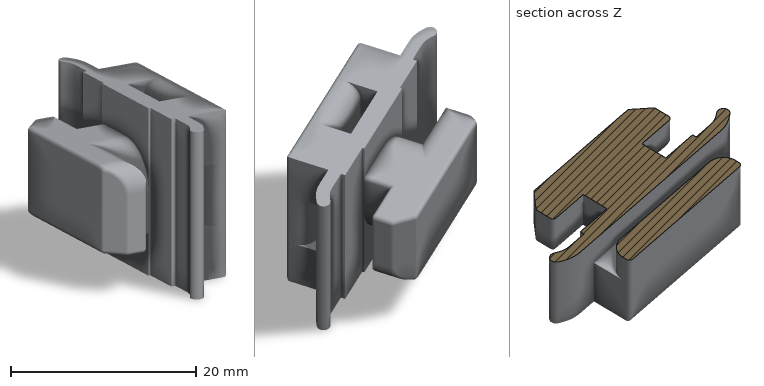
import cadquery as cq
import math


span = 29.7
plate_size = 19.0
plate_half = plate_size / 2
plate_front = 7.0
edge_radius = 0.45
pad_front = 7.25

wing_thickness = 1.48
wing_rear = 5.02
wing_bend_start = 11.88
wing_bend_radius = 2.73
wing_bend_angle = math.radians(30)

slot_width = 7.05
slot_rear = 3.0
slot_front = wing_rear
slot_mouth_radius = 2.0

head_length = 20.02
head_half = head_length / 2
head_height = 9.98
head_top = head_height / 2
head_rear = 10.3
head_front = 14.8
head_chamfer = 2.02
corner_radius = 2.97
rear_round = 2.0
stem_radius = 4.95


def make_plate():
    plate = cq.Workplane("XY").box(plate_size, plate_front, plate_size).translate((0, -plate_front / 2, 0))
    plate = plate.faces(">Y").edges().fillet(edge_radius)
    pad = cq.Workplane("XY").box(head_height, pad_front - wing_rear, plate_size)
    return plate.union(pad.translate((0, -(wing_rear + pad_front) / 2, 0)))


def make_wing():
    """Right-hand wing: flat, bent forward, then straight to a full-round tip."""
    tip_radius = wing_thickness / 2
    bend_center_y = -(wing_rear + wing_thickness + wing_bend_radius)
    outer_radius = wing_bend_radius + wing_thickness
    middle_radius = wing_bend_radius + tip_radius
    sine = math.sin(wing_bend_angle)
    cosine = math.cos(wing_bend_angle)
    bend_end_x = wing_bend_start + middle_radius * sine
    straight = (span / 2 - tip_radius - bend_end_x) / cosine

    def bend_point(radius, angle, advance=0.0):
        x = wing_bend_start + radius * math.sin(angle) + advance * cosine
        y = bend_center_y + radius * math.cos(angle) - advance * sine
        return (x, y)

    half_angle = wing_bend_angle / 2
    return (
        cq.Workplane("XY")
        .workplane(offset=-plate_half)
        .moveTo(0, -wing_rear)
        .lineTo(wing_bend_start, -wing_rear)
        .threePointArc(bend_point(outer_radius, half_angle), bend_point(outer_radius, wing_bend_angle))
        .lineTo(*bend_point(outer_radius, wing_bend_angle, straight))
        .threePointArc(
            bend_point(middle_radius, wing_bend_angle, straight + tip_radius),
            bend_point(wing_bend_radius, wing_bend_angle, straight),
        )
        .lineTo(*bend_point(wing_bend_radius, wing_bend_angle))
        .threePointArc(bend_point(wing_bend_radius, half_angle), (wing_bend_start, -wing_rear - wing_thickness))
        .lineTo(0, -wing_rear - wing_thickness)
        .close()
        .extrude(plate_size)
    )


def make_slot():
    """Slot along Z whose rear wall flares out with a radius at both mouths."""
    bend = plate_half - slot_mouth_radius
    flare_depth = slot_rear - slot_mouth_radius
    diagonal = slot_mouth_radius * math.sqrt(0.5)
    return (
        cq.Workplane("YZ")
        .workplane(offset=-slot_width / 2)
        .moveTo(-slot_front, -plate_half)
        .lineTo(-flare_depth, -plate_half)
        .threePointArc((-flare_depth - diagonal, -bend - diagonal), (-slot_rear, -bend))
        .lineTo(-slot_rear, bend)
        .threePointArc((-flare_depth - diagonal, bend + diagonal), (-flare_depth, plate_half))
        .lineTo(-slot_front, plate_half)
        .close()
        .extrude(slot_width)
    )


def make_head_half():
    """The +X half of the head; its +Z end corner and +Z rear edge are generously rounded."""
    half = (
        cq.Workplane("XY")
        .workplane(offset=-head_top)
        .moveTo(0, -head_rear)
        .lineTo(head_half, -head_rear)
        .lineTo(head_half, -head_front + head_chamfer)
        .lineTo(head_half - head_chamfer, -head_front)
        .lineTo(0, -head_front)
        .close()
        .extrude(head_height)
        .edges("|Z and >X and >Y")
        .fillet(edge_radius)
    )
    corner_blank = (
        cq.Workplane("XY")
        .box(head_length, head_front, head_height)
        .translate((0, -head_front / 2, 0))
        .edges(">X and >Z")
        .fillet(corner_radius)
    )
    rear_blank = (
        cq.Workplane("XY")
        .box(head_length, head_front - head_rear, head_height)
        .translate((0, -(head_front + head_rear) / 2, 0))
        .edges(">Y and >Z")
        .fillet(rear_round)
    )
    half = half.intersect(corner_blank)

    tolerance = 0.03
    seam_z = head_top - corner_radius

    def is_softened(edge):
        center = edge.Center()
        if center.x < tolerance:
            return False
        on_front = center.y < -head_front + tolerance
        on_bottom = center.z < -head_top + tolerance
        is_chamfer_edge = (
            abs(center.x - head_half) < tolerance
            and abs(center.y + head_front - head_chamfer) < tolerance
        )
        is_chamfer_at_corner = (
            edge.geomType() == "ELLIPSE"
            and center.z > seam_z
            and center.y < -head_rear - edge_radius
        )
        return on_front or on_bottom or is_chamfer_edge or is_chamfer_at_corner

    softened_edges = [edge for edge in half.edges().vals() if is_softened(edge)]
    return half.newObject(softened_edges).fillet(edge_radius).intersect(rear_blank)


def make_stem():
    """Square stem with two opposite corners fully rounded and the other two softened."""
    length = head_front - head_chamfer - plate_front
    return (
        cq.Workplane("XY")
        .box(head_height, length, head_height)
        .translate((0, -plate_front - length / 2, 0))
        .edges("(<X and >Z) or (>X and <Z)")
        .fillet(edge_radius)
        .edges("(>X and >Z) or (<X and <Z)")
        .fillet(stem_radius)
    )


plate = make_plate()
wing = make_wing()
slot = make_slot()
cross_slot = slot.rotate((0, 0, 0), (0, 1, 0), 90)
body = plate.union(wing).union(wing.mirror("YZ")).cut(slot).cut(cross_slot)

head_half_right = make_head_half()
head_half_left = head_half_right.rotate((0, 0, 0), (0, 1, 0), 180)
head = head_half_right.union(head_half_left).union(make_stem())
result = body.union(head)